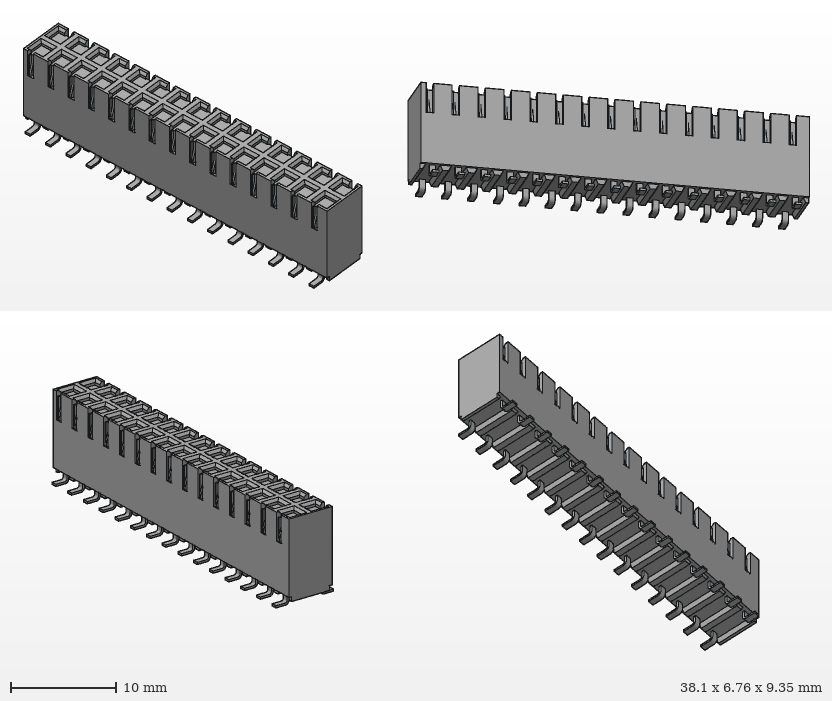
import cadquery as cq

columns = 15
pitch = 2.54
row_offset = pitch / 2

housing_length = 38.07
housing_width = 5.1
housing_top = 9.35
housing_bottom = 1.2

pocket_opening = 2.0
pocket_chamfer_width = 0.26
pocket_chamfer_depth = 0.29
pocket_depth = 0.57
pocket_floor_size = pocket_opening - 2 * pocket_chamfer_width

slot_width = 0.73
slot_height = 3.0
slot_recess = 0.4
slot_lip_recess = 0.15
slot_lip_step = 0.14
ramp_top_depth = 1.6
ramp_toe_height = 0.27
ramp_toe_recess = 0.05
ramp_width = slot_width / 2 - slot_lip_step

rib_bottom = 0.7
rib_inset = 0.31
rib_base_width = 1.1
rib_tip_width = 0.63

tail_span = 6.76
tail_width = 0.62
tail_thickness = 0.24
tail_outer_y = 2.08
tail_inner_radius = 0.23

column_positions = [(i - (columns - 1) / 2) * pitch for i in range(columns)]


def box(x_range, y_range, z_range):
    """Axis-aligned box between the given limits."""
    size = [high - low for low, high in (x_range, y_range, z_range)]
    corner = (x_range[0], y_range[0], z_range[0])
    return cq.Workplane("XY").box(*size, centered=False).translate(corner)


def at_every_contact(front_shape):
    """Copies of a front-row shape in all columns, and turned half round for the rear row."""
    solids = []
    for x in column_positions:
        front = front_shape.translate((x, 0, 0))
        solids.append(front.val())
        solids.append(front.rotate((0, 0, 0), (0, 0, 1), 180).val())
    return cq.Workplane("XY").newObject(solids).combine()


def make_housing():
    return box(
        (-housing_length / 2, housing_length / 2),
        (-housing_width / 2, housing_width / 2),
        (housing_bottom, housing_top),
    )


def make_pocket():
    """Square entry with a chamfered mouth and a flat floor."""
    mouth = (
        cq.Workplane("XY", origin=(0, -row_offset, housing_top))
        .rect(pocket_opening, pocket_opening)
        .workplane(offset=-pocket_chamfer_depth)
        .rect(pocket_floor_size, pocket_floor_size)
        .loft(ruled=True)
    )
    well = (
        cq.Workplane("XY", origin=(0, -row_offset, housing_top - pocket_depth))
        .rect(pocket_floor_size, pocket_floor_size)
        .extrude(pocket_depth)
    )
    return mouth.union(well)


def make_slot():
    """Side slot that opens into the pocket, with a steep ramp left along one side."""
    wall_y = -housing_width / 2
    slot_bottom = housing_top - slot_height
    inner_left = slot_lip_step - slot_width
    lip = box((-slot_width, 0), (wall_y, wall_y + slot_lip_recess), (slot_bottom, housing_top))
    recess = box((inner_left, 0), (wall_y, wall_y + slot_recess), (slot_bottom, housing_top))
    pocket_link = box(
        (-slot_width, 0), (wall_y, -row_offset), (housing_top - pocket_depth, housing_top)
    )
    ramp = (
        cq.Workplane("YZ", origin=(inner_left, 0, 0))
        .moveTo(wall_y + ramp_toe_recess, slot_bottom)
        .lineTo(wall_y + slot_recess, slot_bottom)
        .lineTo(wall_y + slot_recess, housing_top - ramp_top_depth)
        .lineTo(wall_y + ramp_toe_recess, slot_bottom + ramp_toe_height)
        .close()
        .extrude(ramp_width)
    )
    return lip.union(recess).union(pocket_link).cut(ramp)


def make_ribs():
    """Tapered ribs midway between the columns, with half ribs at both ends."""
    rib_length = housing_width - 2 * rib_inset
    ribs = cq.Workplane("XY")
    for i in range(columns + 1):
        x = (i - columns / 2) * pitch
        rib = (
            cq.Workplane("XZ", origin=(x, rib_length / 2, 0))
            .moveTo(-rib_base_width / 2, housing_bottom)
            .lineTo(rib_base_width / 2, housing_bottom)
            .lineTo(rib_tip_width / 2, rib_bottom)
            .lineTo(-rib_tip_width / 2, rib_bottom)
            .close()
            .extrude(rib_length)
        )
        ribs = ribs.add(rib)
    end_limit = box(
        (-housing_length / 2, housing_length / 2),
        (-rib_length / 2, rib_length / 2),
        (rib_bottom, housing_bottom),
    )
    return ribs.combine().intersect(end_limit)


def make_tail():
    """Gull-wing tail: straight down from the housing, then bent outward onto the board."""
    outer_radius = tail_inner_radius + tail_thickness
    bend_y = -tail_outer_y - tail_inner_radius
    foot_tip_y = -tail_span / 2
    return (
        cq.Workplane("YZ", origin=(-tail_width / 2, 0, 0))
        .moveTo(foot_tip_y, 0)
        .lineTo(bend_y, 0)
        .radiusArc((bend_y + outer_radius, outer_radius), -outer_radius)
        .lineTo(bend_y + outer_radius, housing_bottom)
        .lineTo(-tail_outer_y, housing_bottom)
        .lineTo(-tail_outer_y, outer_radius)
        .radiusArc((bend_y, tail_thickness), tail_inner_radius)
        .lineTo(foot_tip_y, tail_thickness)
        .close()
        .extrude(tail_width)
    )


entries = at_every_contact(make_pocket().union(make_slot()))
tails = at_every_contact(make_tail())
result = make_housing().cut(entries).union(make_ribs()).union(tails)